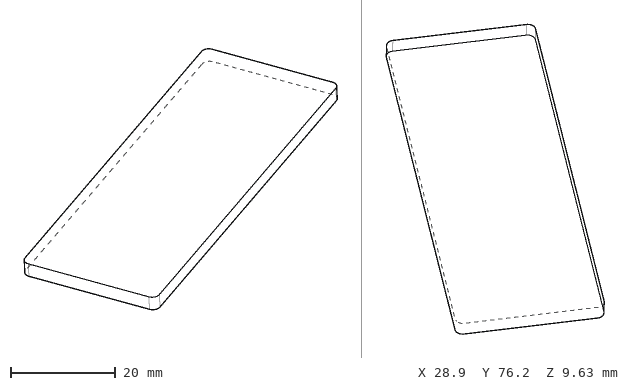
import cadquery as cq
import math

width = 28.95
level_length = 76.2
thickness = 3.0
corner_diameter = 3.0
tilt_degrees = 5.0

tilt = math.radians(tilt_degrees)
plate_length = (level_length - thickness * math.sin(tilt)) / math.cos(tilt)

plate = cq.Workplane("XY").box(width, plate_length, thickness)
plate = plate.edges("|Z").fillet(corner_diameter / 2)

result = plate.rotate((0, 0, 0), (1, 0, 0), tilt_degrees)